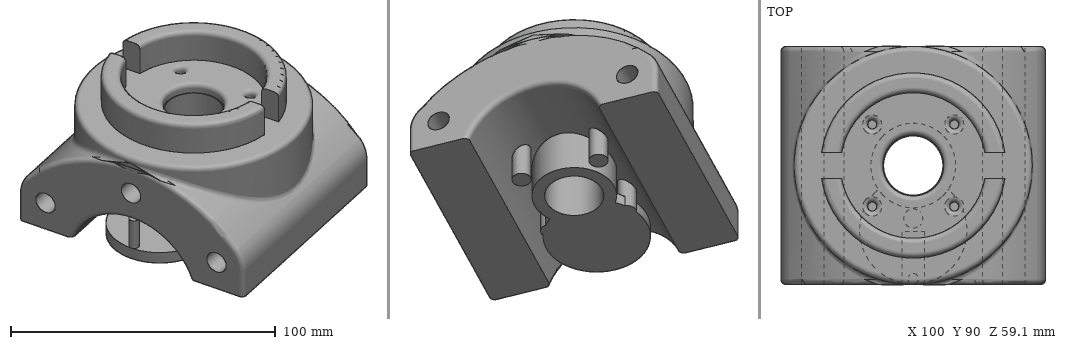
import cadquery as cq
import math

WIDTH = 100.0
LENGTH = 90.0
CROWN_RADIUS = 62.2
CROWN_CENTRE_Z = -20.5
SHOULDER_RADIUS = 12.8
BORE_RADIUS = 28.0
BORE_CENTRE_Z = -10.0
EDGE_FILLET = 2.0

TURRET_RADIUS = LENGTH / 2
TURRET_TOP = 46.1
COLLAR_HEIGHT = 13.0
COLLAR_OUTER_RADIUS = 35.0
COLLAR_INNER_RADIUS = 27.5
COLLAR_GAP = 10.0

CENTRE_HOLE_RADIUS = 11.2
CENTRE_RECESS_RADIUS = 11.5
CENTRE_RECESS_DEPTH = 4.0
SCREW_OFFSET = 15.5
SCREW_HOLE_RADIUS = 1.7
SCREW_HOLE_DEPTH = 20.0

END_HOLE_RADIUS = 4.3
SIDE_HOLE_X = 38.0
SIDE_HOLE_Z = 12.0
CROWN_HOLE_Z = 30.0
CROWN_HOLE_DEPTH = 20.0

HUB_RADIUS = 16.0
BOSS_RADIUS = 3.6
MIDDLE_BOSS_Y = -20.0
FOOT_RADIUS = 20.3
FOOT_THICKNESS = 4.8
FOOT_Y = -24.5
PIN_RADIUS = 2.0
PIN_Y = FOOT_Y - FOOT_RADIUS + PIN_RADIUS
FOOT_POST_TOP = 17.4
HANGER_TOP = BORE_CENTRE_Z + BORE_RADIUS + EDGE_FILLET

SCREW_PLACES = [(sx * SCREW_OFFSET, sy * SCREW_OFFSET) for sx in (-1, 1) for sy in (-1, 1)]
TOLERANCE = 0.05


def cylinder(radius, bottom, top, x=0.0, y=0.0):
    """Upright cylinder between two heights."""
    return cq.Workplane("XY", origin=(x, y, bottom)).circle(radius).extrude(top - bottom)


def lengthwise_cylinder(radius, x, z, depth):
    """Cylinder running in the +Y direction from the front end face."""
    return cq.Workplane("XZ", origin=(x, -LENGTH / 2, z)).circle(radius).extrude(-depth)


def saddle(length):
    """Solid arched block with rounded shoulders, before the bore is cut."""
    half = WIDTH / 2
    shoulder_z = CROWN_CENTRE_Z + math.sqrt(CROWN_RADIUS**2 - half**2)
    block = (
        cq.Workplane("XZ", origin=(0, length / 2, 0))
        .moveTo(-half, 0)
        .lineTo(-half, shoulder_z)
        .threePointArc((0, CROWN_CENTRE_Z + CROWN_RADIUS), (half, shoulder_z))
        .lineTo(half, 0)
        .close()
        .extrude(length)
    )
    shoulders = cq.selectors.BoxSelector(
        (-half - 1, -1, shoulder_z - 1),
        (half + 1, 1, shoulder_z + 1),
    )
    return block.edges("|Y").edges(shoulders).fillet(SHOULDER_RADIUS)


def bored_saddle():
    """Saddle with its bore and with both end outlines rounded."""
    body = saddle(LENGTH).cut(lengthwise_cylinder(BORE_RADIUS, 0, BORE_CENTRE_Z, LENGTH))
    end_edges = body.faces("<Y or >Y").edges().vals()
    outline = [edge for edge in end_edges if edge.Center().z > TOLERANCE]
    return body.newObject(outline).fillet(EDGE_FILLET)


def junction_edges(body):
    """Curved edges where the turret wall runs down into the saddle."""

    def on_wall(edge):
        points = [edge.positionAt(t) for t in (0.0, 0.25, 0.5, 0.75, 1.0)]
        return all(abs(math.hypot(p.x, p.y) - TURRET_RADIUS) < TOLERANCE for p in points)

    below_rim = [edge for edge in body.edges("not |Z").vals() if edge.Center().z < TURRET_TOP - EDGE_FILLET]
    return body.newObject([edge for edge in below_rim if on_wall(edge)])


def turret():
    """Platform with a rounded inner corner around its foot, cut flush with the ends."""
    platform = cylinder(TURRET_RADIUS, HANGER_TOP, TURRET_TOP)
    long_saddle = saddle(LENGTH + TURRET_RADIUS)
    blended = junction_edges(long_saddle.union(platform)).fillet(EDGE_FILLET)
    between_ends = cq.Workplane("XY").box(WIDTH, LENGTH, 2 * TURRET_TOP)
    corner = blended.intersect(between_ends).cut(long_saddle)
    return corner.union(platform)


def hangers():
    """Hub, foot disc, bosses and pin below the crown."""
    body = cylinder(HUB_RADIUS, 0, HANGER_TOP)
    body = body.union(cylinder(FOOT_RADIUS, 0, FOOT_THICKNESS, y=FOOT_Y))
    body = body.union(cylinder(PIN_RADIUS, 0, FOOT_POST_TOP, y=PIN_Y))
    body = body.union(cylinder(BOSS_RADIUS, 0, FOOT_POST_TOP, y=MIDDLE_BOSS_Y))
    for x, y in SCREW_PLACES:
        body = body.union(cylinder(BOSS_RADIUS, 0, HANGER_TOP, x, y))
    return body


def cut_platform_holes(body):
    """Stepped centre hole and four blind screw holes, with rounded mouths and platform rim."""
    body = body.cut(cylinder(CENTRE_HOLE_RADIUS, 0, TURRET_TOP))
    body = body.cut(cylinder(CENTRE_RECESS_RADIUS, TURRET_TOP - CENTRE_RECESS_DEPTH, TURRET_TOP))
    for x, y in SCREW_PLACES:
        body = body.cut(cylinder(SCREW_HOLE_RADIUS, TURRET_TOP - SCREW_HOLE_DEPTH, TURRET_TOP, x, y))
    reach = COLLAR_INNER_RADIUS
    mouths = cq.selectors.BoxSelector(
        (-reach, -reach, TURRET_TOP - TOLERANCE),
        (reach, reach, TURRET_TOP + TOLERANCE),
    )
    return body.edges(mouths).fillet(EDGE_FILLET)


def cut_end_holes(body):
    for x in (-SIDE_HOLE_X, SIDE_HOLE_X):
        body = body.cut(lengthwise_cylinder(END_HOLE_RADIUS, x, SIDE_HOLE_Z, LENGTH))
    return body.cut(lengthwise_cylinder(END_HOLE_RADIUS, 0, CROWN_HOLE_Z, CROWN_HOLE_DEPTH))


def collar():
    """Ring with rounded top edges, split by a gap along X."""
    top = TURRET_TOP + COLLAR_HEIGHT
    ring = cylinder(COLLAR_OUTER_RADIUS, TURRET_TOP, top)
    ring = ring.cut(cylinder(COLLAR_INNER_RADIUS, TURRET_TOP, top))
    ring = ring.faces(">Z").edges().fillet(EDGE_FILLET)
    gap = cq.Workplane("XY", origin=(0, 0, TURRET_TOP)).rect(WIDTH, COLLAR_GAP).extrude(COLLAR_HEIGHT)
    return ring.cut(gap)


body = bored_saddle().union(turret()).union(hangers())
body = cut_platform_holes(body)
body = cut_end_holes(body)
result = body.union(collar())